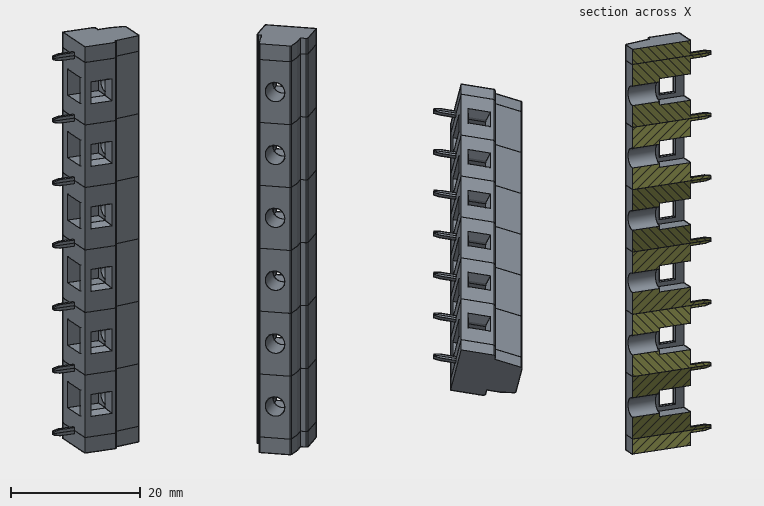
import cadquery as cq

strip_length = 66.05
pole_count = 7
pole_pitch = strip_length / (pole_count - 0.5)
end_length = pole_pitch / 4
pole_span = pole_pitch * (pole_count - 1)
first_pole_z = -pole_span / 2
last_pole_z = pole_span / 2

base_width = 8.1
housing_depth = 10.0
shelf_y = 5.5
shelf_chamfer = 0.25
left_wall_x = -2.9
left_bend_y = 7.6
right_wall_x = 3.3
top_width = 5.15
top_chamfer = 0.2

pocket_width = 4.6
pocket_height = 4.2
pocket_depth = 5.3
hole_diameter = 3.1

throat_size = 2.8
throat_length = 0.4
mouth_size = 3.55
entry_y = 2.85

pin_width = 0.5
pin_height = 1.0
pin_length = 3.5
tip_length = 1.0
tip_height = 0.5


def housing_block(length):
    """Plain length of the housing profile, rising from Z = 0."""
    half_base = base_width / 2
    half_top = top_width / 2
    outline = [
        (-half_base, 0),
        (half_base, 0),
        (half_base, shelf_y - shelf_chamfer),
        (half_base - shelf_chamfer, shelf_y),
        (right_wall_x, shelf_y),
        (half_top, housing_depth - top_chamfer),
        (half_top - top_chamfer, housing_depth),
        (top_chamfer - half_top, housing_depth),
        (-half_top, housing_depth - top_chamfer),
        (left_wall_x, left_bend_y),
        (left_wall_x, shelf_y),
        (shelf_chamfer - half_base, shelf_y),
        (-half_base, shelf_y - shelf_chamfer),
    ]
    return cq.Workplane("XY").polyline(outline).close().extrude(length)


def half_pin(joint_z, side):
    """Half of a tapered pin on one side (+1 up, -1 down) of the joint at joint_z."""
    taper_start_y = tip_length - pin_length
    outline = [
        (0, joint_z),
        (0, joint_z + side * pin_height / 2),
        (taper_start_y, joint_z + side * pin_height / 2),
        (-pin_length, joint_z + side * tip_height / 2),
        (-pin_length, joint_z),
    ]
    return cq.Workplane("YZ").polyline(outline).close().extrude(pin_width / 2, both=True)


def make_end_section(side):
    """End section with the outer half of the last pin; side is +1 at the top, -1 at the bottom."""
    section = housing_block(end_length)
    if side < 0:
        return section.union(half_pin(end_length, -1)).translate((0, 0, -strip_length / 2))
    return section.union(half_pin(0, 1)).translate((0, 0, last_pole_z))


def wire_entry():
    """Cutter for the flared wire entry at mid height of a middle section."""
    pocket_side = cq.Workplane("YZ", origin=(pocket_width / 2, entry_y, pole_pitch / 2))
    flare_length = (base_width - pocket_width) / 2 - throat_length
    throat = pocket_side.rect(throat_size, throat_size).extrude(throat_length)
    flare = (
        pocket_side.workplane(offset=throat_length)
        .rect(throat_size, throat_size)
        .workplane(offset=flare_length)
        .rect(mouth_size, mouth_size)
        .loft()
    )
    return throat.union(flare)


def make_middle_section(bottom_z):
    """Section from one joint to the next, with a rectangular pocket, a round through hole and a wire entry."""
    opening = cq.Workplane("XZ").center(0, pole_pitch / 2)
    pocket = opening.rect(pocket_width, pocket_height).extrude(-pocket_depth)
    hole = opening.circle(hole_diameter / 2).extrude(-housing_depth)
    section = housing_block(pole_pitch).cut(pocket).cut(hole).cut(wire_entry())
    section = section.union(half_pin(0, 1)).union(half_pin(pole_pitch, -1))
    return section.translate((0, 0, bottom_z))


end_sections = [make_end_section(side) for side in (-1, 1)]
middle_sections = [
    make_middle_section(first_pole_z + index * pole_pitch) for index in range(pole_count - 1)
]

result = cq.Compound.makeCompound([section.val() for section in end_sections + middle_sections])